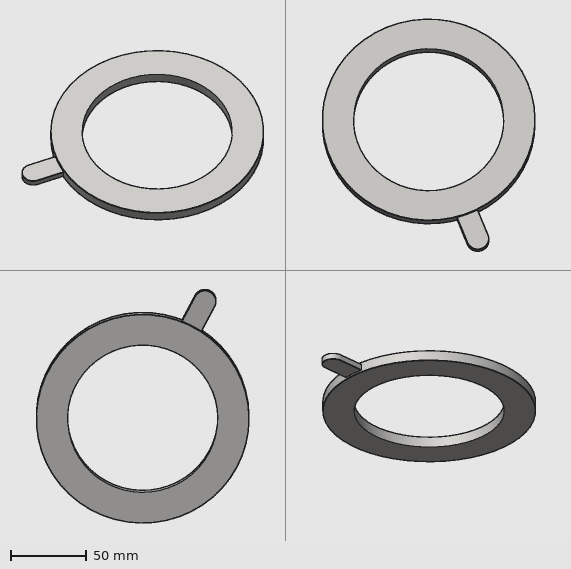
import cadquery as cq

total_length = 168.0
ring_diameter = 142.0
hole_diameter = 100.0
ring_thickness = 7.5
edge_chamfer = 0.3
tab_width = 15.0
tab_thickness = 4.5

ring_radius = ring_diameter / 2
hole_radius = hole_diameter / 2
tab_end_radius = tab_width / 2
tab_tip_y = ring_radius - total_length
tab_arc_start_y = tab_tip_y + tab_end_radius
tab_root_y = -(ring_radius + hole_radius) / 2


def centered_plane(thickness):
    """Horizontal workplane from which an extrusion of this thickness straddles Z = 0."""
    return cq.Workplane("XY").workplane(offset=-thickness / 2)


def make_ring():
    """Flat ring, centred on the origin, with its outer rims chamfered."""
    disc = centered_plane(ring_thickness).circle(ring_radius).extrude(ring_thickness)
    beveled_disc = disc.edges("%CIRCLE").chamfer(edge_chamfer)
    hole = centered_plane(ring_thickness).circle(hole_radius).extrude(ring_thickness)
    return beveled_disc.cut(hole)


def make_tab():
    """Thin round-ended tab with chamfered edges, pointing along -Y at mid-height of the ring."""
    return (
        centered_plane(tab_thickness)
        .moveTo(-tab_end_radius, tab_root_y)
        .lineTo(-tab_end_radius, tab_arc_start_y)
        .threePointArc((0, tab_tip_y), (tab_end_radius, tab_arc_start_y))
        .lineTo(tab_end_radius, tab_root_y)
        .close()
        .extrude(tab_thickness)
        .faces("|Z")
        .edges()
        .chamfer(edge_chamfer)
    )


result = make_ring().union(make_tab())